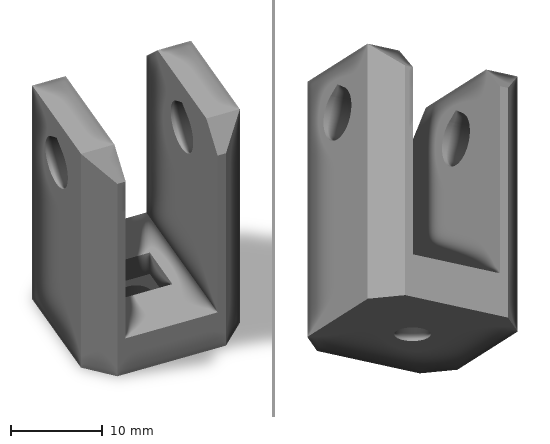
import cadquery as cq
import math

width = 19.0
height = 30.0
corner_chamfer = 3.0
top_chamfer = corner_chamfer

wall_thickness = 4.0
floor_thickness = 5.0
slot_width = width - 2 * wall_thickness

pin_radius = 3.0
pin_drop = 6.0
pin_height = height - pin_drop
roof_angle = math.radians(30)

screw_diameter = 4.0
recess_side = 6.0
recess_depth = 3.0


def make_block():
    """Square block with chamfered upright corners and sloped top ends along X."""
    blank = cq.Workplane("XY").box(width, width, height, centered=(True, True, False))
    upright_chamfered = blank.edges("|Z").chamfer(corner_chamfer)
    top_chamfered = blank.edges("|Y and >Z").chamfer(top_chamfer)
    return upright_chamfered.intersect(top_chamfered)


def make_slot():
    """Slot between the two walls, running the full length of X."""
    return (
        cq.Workplane("XY")
        .workplane(offset=floor_thickness)
        .rect(width, slot_width)
        .extrude(height - floor_thickness)
    )


def make_pin_hole():
    """Teardrop along Y: a round hole with a roof tangent to it, meeting in a point."""
    tangent_x = pin_radius * math.sin(roof_angle)
    tangent_z = pin_height + pin_radius * math.cos(roof_angle)
    peak_z = pin_height + pin_radius / math.cos(roof_angle)
    return (
        cq.Workplane("XZ")
        .moveTo(-tangent_x, tangent_z)
        .threePointArc((0, pin_height - pin_radius), (tangent_x, tangent_z))
        .lineTo(0, peak_z)
        .close()
        .extrude(width / 2, both=True)
    )


def make_floor_openings():
    """Round screw hole through the floor with a square recess sunk from above."""
    screw_hole = cq.Workplane("XY").circle(screw_diameter / 2).extrude(floor_thickness)
    recess = (
        cq.Workplane("XY")
        .workplane(offset=floor_thickness - recess_depth)
        .rect(recess_side, recess_side)
        .extrude(recess_depth)
    )
    return screw_hole.union(recess)


result = make_block().cut(make_slot()).cut(make_pin_hole()).cut(make_floor_openings())